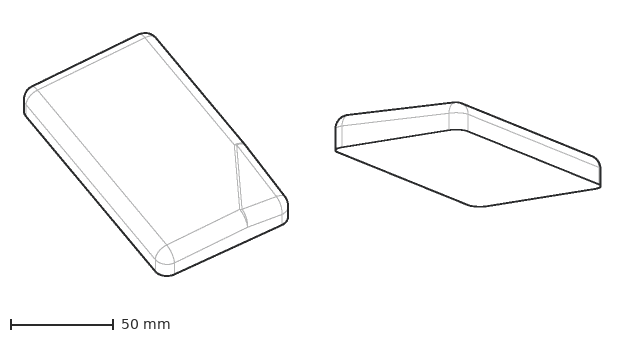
import cadquery as cq
import math

length = 133.0
width = 75.0
height = 17.7

edge_radius = 6.8
top_slope = 2.1

facet_tilt = 9.5
crease_back = (23.4, 30.9)
crease_side = (60.0, 11.3)

slope = math.radians(top_slope)
tilt = math.radians(facet_tilt)

crest_y = width / 2 - edge_radius


def top_height(y):
    """Height of the flat sloping top at a given Y, before rounding."""
    crest_rise = edge_radius * (1 / math.cos(slope) - 1)
    return height + crest_rise + (y - crest_y) * math.tan(slope)


def sloping_block():
    """Rectangular block with a top that rises toward +Y."""
    front = -width / 2
    back = width / 2
    profile = [(front, 0), (back, 0), (back, top_height(back)), (front, top_height(front))]
    return (
        cq.Workplane("YZ")
        .polyline(profile)
        .close()
        .extrude(length / 2, both=True)
    )


def facet_cutter():
    """Box whose lower face is the facet plane, starting at the crease."""
    start = cq.Vector(*crease_back, top_height(crease_back[1]))
    end = cq.Vector(*crease_side, top_height(crease_side[1]))
    along = (end - start).normalized()
    top_normal = cq.Vector(0, -math.sin(slope), math.cos(slope))
    outward = top_normal.cross(along)
    facet_normal = top_normal * math.cos(tilt) + outward * math.sin(tilt)
    facet_plane = cq.Plane(origin=start, xDir=along, normal=facet_normal)
    return (
        cq.Workplane(facet_plane)
        .box(2 * length, length, height, centered=(True, False, False))
    )


body = sloping_block().cut(facet_cutter())
body = body.edges("|Z").fillet(edge_radius)

upper_edges = body.edges("not(<Z or |Z)")
result = upper_edges.fillet(edge_radius)